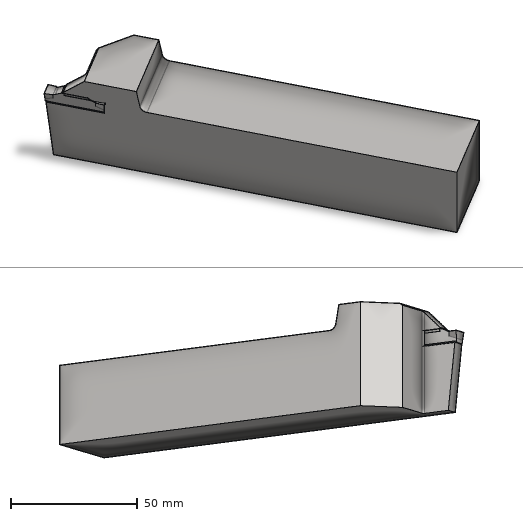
import cadquery as cq
import math


total_length = 170.0
shank_size = 32.0
head_height = 42.0
head_top_start = 16.4
head_top_end = 37.9
head_back_run = 1.9
head_back_radius = 3.0
head_front = 15.6
head_corner = 12.0

blade_thickness = 5.1
blade_front_top = 0.6
blade_front_bottom = 3.7
blade_fillet = 0.7
nose_start = 7.6
nose_step = 0.4

insert_length = 24.7
insert_height = 4.8
side_overhang = 0.5
insert_top = shank_size
insert_bottom = insert_top - insert_height
body_width = blade_thickness - side_overhang
edge_length = 4.1
hump_start = 7.0
hump_top = insert_top + 1.5
ramp_radius = 2.0
end_relief = 0.2
relief_drop = 3.2
bottom_chamfer = 0.6
rail_bottom = insert_top + 0.5
rail_inset = 0.1
rail_start = nose_start + 0.5

wing_length = 3.6
wing_rear_height = 1.9

pocket_relief = 0.4


def side_prism(outline, y_start, y_end):
    """Extrude a closed X-Z outline from y_start to y_end."""
    plane = cq.Workplane("XZ", origin=(0, y_start, 0))
    return plane.polyline(outline).close().extrude(y_start - y_end)


def make_holder():
    wall_bottom_x = head_top_end + head_back_run
    side = side_prism(
        [
            (blade_front_bottom, 0),
            (total_length, 0),
            (total_length, shank_size),
            (wall_bottom_x, shank_size),
            (head_top_end, head_height),
            (head_top_start, head_height),
            (nose_start, hump_top + nose_step),
            (nose_start, insert_bottom),
            (blade_front_top, insert_bottom),
        ],
        0,
        shank_size,
    )
    wall_foot = (wall_bottom_x, shank_size / 2, shank_size)
    side = side.edges(cq.NearestToPointSelector(wall_foot)).fillet(head_back_radius)

    arc_reach = blade_fillet * (1 - math.sqrt(0.5))
    plan = (
        cq.Workplane("XY")
        .moveTo(0, 0)
        .lineTo(total_length, 0)
        .lineTo(total_length, shank_size)
        .lineTo(head_front + head_corner, shank_size)
        .lineTo(head_front, shank_size - head_corner)
        .lineTo(head_front, blade_thickness + blade_fillet)
        .threePointArc(
            (head_front - arc_reach, blade_thickness + arc_reach),
            (head_front - blade_fillet, blade_thickness),
        )
        .lineTo(0, blade_thickness)
        .close()
        .extrude(head_height)
    )
    return side.intersect(plan).cut(make_pocket())


def make_pocket():
    """Seat for the insert, open at the blade side and at the front."""
    ramp_slope = (hump_top - insert_top) / (hump_start - edge_length)
    ramp_foot = insert_length - edge_length - (rail_bottom - insert_top) / ramp_slope
    pocket_end = insert_length + pocket_relief
    outline = [
        (0, insert_bottom),
        (insert_length, insert_bottom),
        (insert_length, insert_top),
        (pocket_end, insert_top),
        (pocket_end, rail_bottom),
        (ramp_foot, rail_bottom),
        (insert_length - hump_start, hump_top),
        (0, hump_top),
    ]
    return side_prism(outline, 0, blade_thickness)


def make_wing():
    """Tapered wing beside the front cutting end, on the -Y side of the insert."""
    blank = side_prism(
        [
            (0, insert_top),
            (wing_length, insert_top),
            (wing_length, insert_top - wing_rear_height),
            (end_relief, insert_top - relief_drop),
        ],
        -side_overhang,
        0,
    )
    drop_taper = side_overhang / relief_drop
    length_taper = (side_overhang - drop_taper * wing_rear_height) / wing_length
    taper_plane = cq.Plane(
        origin=(0, -side_overhang, insert_top),
        xDir=(1, length_taper, 0),
        normal=(length_taper, -1, -drop_taper),
    )
    waste_size = 4 * wing_length
    waste = cq.Workplane(taper_plane).rect(waste_size, waste_size).extrude(waste_size)
    return blank.cut(waste)


def make_insert():
    half = [
        (end_relief, insert_bottom),
        (end_relief, insert_top - relief_drop),
        (0, insert_top),
        (edge_length, insert_top),
        (hump_start, hump_top),
    ]
    other_half = [(insert_length - x, z) for x, z in reversed(half)]
    body = side_prism(half + other_half, 0, body_width)

    for ramp_foot_x in (edge_length, insert_length - edge_length):
        ramp_foot = (ramp_foot_x, body_width / 2, insert_top)
        body = body.edges(cq.NearestToPointSelector(ramp_foot)).fillet(ramp_radius)
    body = body.faces("<Z").edges("|X").chamfer(bottom_chamfer)

    rail_length = insert_length - edge_length - rail_start
    for y_start in (0, body_width - rail_inset):
        step = cq.Workplane("XY").box(
            rail_length, rail_inset, hump_top - rail_bottom, centered=False
        )
        body = body.cut(step.translate((rail_start, y_start, rail_bottom)))

    middle = (insert_length / 2, body_width / 2, 0)
    near_wing = make_wing()
    far_wing = near_wing.mirror("XZ", middle)
    for wing in (near_wing, far_wing):
        body = body.union(wing).union(wing.mirror("YZ", middle))
    return body


holder = make_holder()
insert = make_insert()

result = cq.Compound.makeCompound([holder.solids().val(), insert.solids().val()])